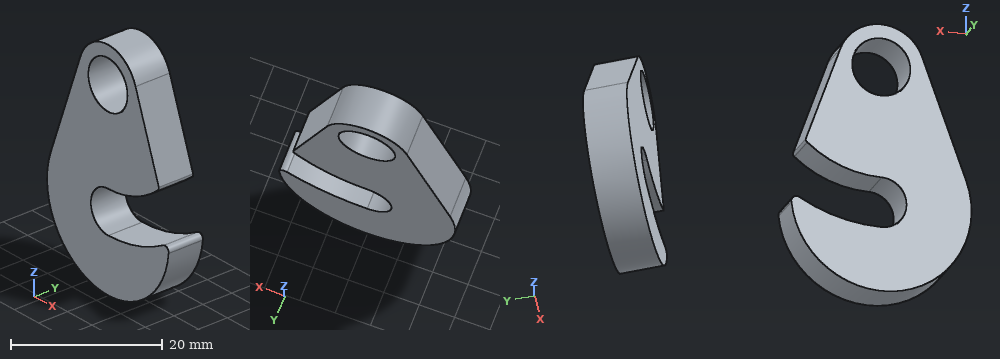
import cadquery as cq
import math

thickness = 5.95
body_radius = 12.5
eye_radius = 6.0
eye_hole_radius = 4.0
overall_height = 37.5
throat_radius = 3.5
throat_curve_radius = 19.0
throat_sweep = 55.0
upper_lip_fillet = 0.5
tip_fillet = 0.75

eye_height = overall_height - body_radius - eye_radius
flank_angle = math.asin((body_radius - eye_radius) / eye_height)


def flank_point(radius, center_height, side):
    """Point where a straight flank touches a circle on the vertical axis."""
    return (
        side * radius * math.cos(flank_angle),
        center_height + radius * math.sin(flank_angle),
    )


def throat_point(radius, degrees):
    """Point on a slot wall, at an angle measured from straight down."""
    angle = math.radians(degrees)
    return (radius * math.sin(angle), throat_curve_radius - radius * math.cos(angle))


def extrude_centered(profile):
    return profile.extrude(thickness / 2, both=True)


def make_blank():
    """Round body and eye joined by two tangent flanks."""
    profile = (
        cq.Workplane("XZ")
        .moveTo(*flank_point(body_radius, 0, -1))
        .lineTo(*flank_point(eye_radius, eye_height, -1))
        .threePointArc((0, eye_height + eye_radius), flank_point(eye_radius, eye_height, 1))
        .lineTo(*flank_point(body_radius, 0, 1))
        .threePointArc((0, -body_radius), flank_point(body_radius, 0, -1))
        .close()
    )
    return extrude_centered(profile)


def make_throat():
    """Curved slot with concentric walls and a round inner end, open at the right."""
    inner = throat_curve_radius - throat_radius
    outer = throat_curve_radius + throat_radius
    profile = (
        cq.Workplane("XZ")
        .moveTo(0, throat_radius)
        .threePointArc((-throat_radius, 0), (0, -throat_radius))
        .threePointArc(throat_point(outer, throat_sweep / 2), throat_point(outer, throat_sweep))
        .lineTo(*throat_point(inner, throat_sweep))
        .threePointArc(throat_point(inner, throat_sweep / 2), (0, throat_radius))
        .close()
    )
    return extrude_centered(profile)


eye_hole = extrude_centered(cq.Workplane("XZ").center(0, eye_height).circle(eye_hole_radius))
result = make_blank().cut(make_throat()).cut(eye_hole)

result = result.edges("|Y").edges(">X").fillet(tip_fillet)
lip_corner = cq.selectors.NearestToPointSelector((body_radius, 0, 2 * throat_radius))
result = result.edges("|Y").edges(lip_corner).fillet(upper_lip_fillet)